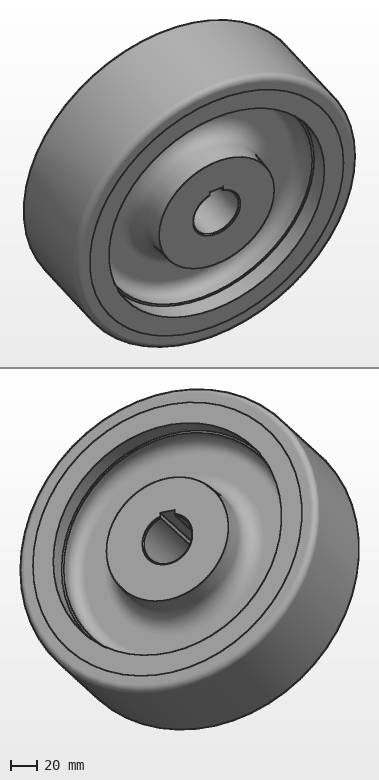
import cadquery as cq

wheel_radius = 125.0
width = 80.0
half_width = width / 2

tread_thickness = 12.5
tread_corner_radius = 5.0
core_radius = wheel_radius - tread_thickness

hub_radius = 51.0
hub_root_radius = 51.8
hub_straight_depth = 16.5
recess_radius = 95.5
step_depth = 15.0
step_radius = 93.8
recess_depth = 31.0
hub_fillet = recess_depth - hub_straight_depth
rim_fillet = 10.0

bore_radius = 20.0
bore_chamfer = 1.0
key_width = 12.0
key_top = 23.2

wheel_axis = ((0, 0, 0), (1, 0, 0))


def make_tread():
    """Outer ring with rounded outer corners."""
    ring = (
        cq.Workplane("YZ")
        .workplane(offset=-half_width)
        .circle(wheel_radius)
        .circle(core_radius)
        .extrude(width)
    )
    outer_edges = ring.faces("<X or >X").edges(cq.selectors.RadiusNthSelector(1))
    return outer_edges.fillet(tread_corner_radius)


def make_recess():
    """Ring-shaped cutter for the recess on the -X side."""
    web_x = -half_width + recess_depth
    step_x = -half_width + step_depth
    diagonal = 0.5 ** 0.5
    hub_center = (web_x - hub_fillet, hub_root_radius + hub_fillet)
    rim_center = (web_x - rim_fillet, step_radius - rim_fillet)
    return (
        cq.Workplane("XY")
        .moveTo(-half_width, hub_radius)
        .lineTo(hub_center[0], hub_root_radius)
        .threePointArc(
            (hub_center[0] + hub_fillet * diagonal, hub_center[1] - hub_fillet * diagonal),
            (web_x, hub_center[1]),
        )
        .lineTo(web_x, rim_center[1])
        .threePointArc(
            (rim_center[0] + rim_fillet * diagonal, rim_center[1] + rim_fillet * diagonal),
            (rim_center[0], step_radius),
        )
        .lineTo(step_x, step_radius)
        .lineTo(step_x, recess_radius)
        .lineTo(-half_width, recess_radius)
        .close()
        .revolve(360, *wheel_axis)
    )


def make_keyway():
    """Cutter for the keyway above the bore, through the full width."""
    return cq.Workplane("XY").box(width, key_width, key_top, centered=(True, True, False))


def make_core():
    """Hub, web and rim in one piece, with a chamfered keyed bore."""
    disc = cq.Workplane("YZ").workplane(offset=-half_width).circle(core_radius).extrude(width)
    bore = cq.Workplane("YZ").workplane(offset=-half_width).circle(bore_radius).extrude(width)
    core = disc.cut(bore)
    core = core.faces("<X or >X").edges(cq.selectors.RadiusNthSelector(0)).chamfer(bore_chamfer)
    recess = make_recess()
    return core.cut(recess).cut(recess.mirror("YZ")).cut(make_keyway())


tread = make_tread()
core = make_core()
result = cq.Compound.makeCompound([tread.val(), core.val()])